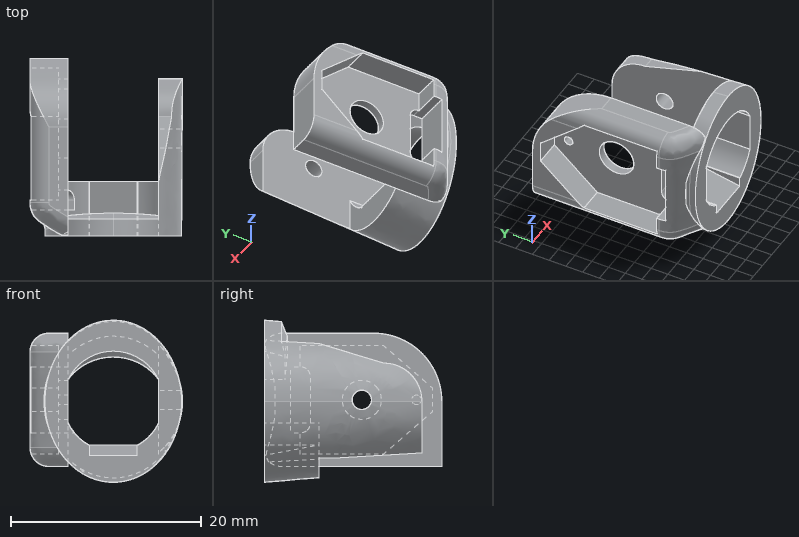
import cadquery as cq
import math

TOTAL_WIDTH = 16.0
TOTAL_LENGTH = 18.61
RING_HALF_WIDTH = 7.16
RING_HALF_HEIGHT = 8.505
REAR_HALF_WIDTH = 7.26
REAR_HALF_HEIGHT = 7.13
RING_LENGTH = 5.73
GAP_HALF_WIDTH = 4.73
AXIS_Z = 0.15
OVERCUT = 1.0

ARM_OUTER_X = REAR_HALF_WIDTH - TOTAL_WIDTH
ARM_INNER_X = -GAP_HALF_WIDTH
ARM_HALF_HEIGHT = 7.0
ARM_TIP_RADIUS = 7.2
ARM_EDGE_RADIUS = 2.0
ARM_TOP = AXIS_Z + ARM_HALF_HEIGHT
ARM_BOTTOM = AXIS_Z - ARM_HALF_HEIGHT
NOSE_LENGTH = 3.5
NOSE_FRONT_X = -5.3
NOSE_MID = (-7.35, 1.24)
NOSE_END_DIRECTION = (1.3, -0.76)
BEAD_FRONT_Y = 0.7
BEAD_BACK_Y = 1.1
BEAD_HEIGHT = 0.1
BEAD_HALF_HEIGHT = 8.2

SHORT_ARM_LENGTH = 16.5
SHORT_ARM_RADIUS = 4.0
SHORT_ARM_ROOT_TOP = 6.05
SHORT_ARM_BOTTOM = -5.95

BORE_RADIUS = 5.25
BORE_SIDE_Z = math.sqrt(BORE_RADIUS**2 - GAP_HALF_WIDTH**2)
BORE_FLOOR_Z = -4.58
KEY_HALF_WIDTH = 2.5
KEY_FRONT_Z = -5.67
LIP_RISE = 4.62

UPPER_RING_LENGTH = 1.77
CROWN_LENGTH = 2.4
CROWN_DROP = 0.25
SHOULDER_SLOPE = 0.41

PIN_Y = 10.2
PIN_RADIUS = 1.0
PIN_HEAD_RADIUS = 2.05
SMALL_HOLE_Y = 15.93
SMALL_HOLE_RADIUS = 0.5
POCKET_DEPTH = 3.0
POCKET_FRONT_Y = 3.75
POCKET_SHOULDER_Y = 12.5
POCKET_TIP_Y = 17.63
POCKET_HALF_HEIGHT = 5.67
POCKET_TIP_HALF_HEIGHT = 1.22
SLOT_FRONT_Y = 2.75
SLOT_BACK_Y = 4.8
SLOT_HALF_HEIGHT = 3.45
SLOT_CORNER_RADIUS = 1.0


def xz_plane(y):
    """Plane across the ring axis: local x is X, local y is Z, positive offsets run to -Y."""
    return cq.Workplane(cq.Plane(origin=(0, y, 0), xDir=(1, 0, 0), normal=(0, -1, 0)))


def yz_plane(x):
    """Plane along the ring axis: local x is Y, local y is Z, extrusion runs to +X."""
    return cq.Workplane("YZ", origin=(x, 0, 0))


def block(x_range, y_range, z_range):
    lows, highs = zip(x_range, y_range, z_range)
    sizes = [high - low for low, high in zip(lows, highs)]
    return cq.Workplane("XY").box(*sizes, centered=False).translate(lows)


def elliptic_cone(y_front, front_axes, y_back, back_axes):
    return (
        xz_plane(y_front).ellipse(*front_axes)
        .workplane(offset=y_front - y_back).ellipse(*back_axes)
        .loft(ruled=True)
    )


def ring_axes_at(y):
    share = y / SHORT_ARM_LENGTH
    half_width = RING_HALF_WIDTH + share * (REAR_HALF_WIDTH - RING_HALF_WIDTH)
    half_height = RING_HALF_HEIGHT + share * (REAR_HALF_HEIGHT - RING_HALF_HEIGHT)
    return half_width, half_height


def ring_and_short_arm():
    """Tapering elliptic shell trimmed to the ring and to the outline of the short arm."""
    shell = elliptic_cone(0, ring_axes_at(0), SHORT_ARM_LENGTH, ring_axes_at(SHORT_ARM_LENGTH))
    round_y = SHORT_ARM_LENGTH - SHORT_ARM_RADIUS
    diagonal = SHORT_ARM_RADIUS * math.sqrt(0.5)
    arm = (
        yz_plane(GAP_HALF_WIDTH)
        .moveTo(0, SHORT_ARM_BOTTOM)
        .lineTo(SHORT_ARM_LENGTH, SHORT_ARM_BOTTOM)
        .lineTo(SHORT_ARM_LENGTH, 0)
        .threePointArc((round_y + diagonal, diagonal), (round_y, SHORT_ARM_RADIUS))
        .lineTo(RING_LENGTH, SHORT_ARM_ROOT_TOP)
        .lineTo(0, SHORT_ARM_ROOT_TOP)
        .close()
        .extrude(REAR_HALF_WIDTH)
    )
    ring = block((-TOTAL_WIDTH, TOTAL_WIDTH), (0, RING_LENGTH), (-TOTAL_WIDTH, TOTAL_WIDTH))
    return shell.intersect(ring.union(arm))


def ring_bead():
    """Low flare around the ring on the long arm's side."""
    front_width = ring_axes_at(BEAD_FRONT_Y)[0]
    back_axes = (front_width + BEAD_HEIGHT, BEAD_HALF_HEIGHT)
    flare = elliptic_cone(BEAD_FRONT_Y, (front_width, BEAD_HALF_HEIGHT), BEAD_BACK_Y, back_axes)
    side = block((ARM_OUTER_X, ARM_INNER_X), (0, BEAD_BACK_Y), (ARM_BOTTOM, ARM_TOP))
    return flare.intersect(side)


def upper_gap():
    """Space between the arms, down to the crowned back face of the upper ring."""
    space = block(
        (-GAP_HALF_WIDTH, GAP_HALF_WIDTH),
        (UPPER_RING_LENGTH, TOTAL_LENGTH),
        (0, RING_HALF_HEIGHT + OVERCUT),
    )
    rim_axes = ring_axes_at(UPPER_RING_LENGTH)
    run = (CROWN_LENGTH - UPPER_RING_LENGTH) / SHOULDER_SLOPE
    crown_axes = [axis - run for axis in rim_axes]
    shoulder = elliptic_cone(UPPER_RING_LENGTH, rim_axes, CROWN_LENGTH, crown_axes)
    crown_radius = (GAP_HALF_WIDTH**2 + CROWN_DROP**2) / (2 * CROWN_DROP)
    crown = (
        cq.Workplane("XY", origin=(0, CROWN_LENGTH - crown_radius, -RING_HALF_HEIGHT))
        .circle(crown_radius)
        .extrude(2 * RING_HALF_HEIGHT)
    )
    return space.cut(shoulder.intersect(crown))


def bore_lower():
    """Bore with flat sides and a flat floor; its roof stops at the bore's widest flats."""
    tool = xz_plane(-OVERCUT).circle(BORE_RADIUS).extrude(-RING_LENGTH - 2 * OVERCUT)
    limits = block(
        (-GAP_HALF_WIDTH, GAP_HALF_WIDTH),
        (-OVERCUT, RING_LENGTH + OVERCUT),
        (BORE_FLOOR_Z, BORE_SIDE_Z),
    )
    return tool.intersect(limits)


def bore_roof():
    """Arched roof of the bore, lower at the back than at the front face."""

    def arch(plane, rise):
        start = (-GAP_HALF_WIDTH, BORE_SIDE_Z)
        end = (GAP_HALF_WIDTH, BORE_SIDE_Z)
        return plane.moveTo(*start).threePointArc((0, rise), end).close()

    front = arch(xz_plane(0), BORE_RADIUS)
    return arch(front.workplane(offset=-CROWN_LENGTH), LIP_RISE).loft(ruled=True)


def keyway():
    """Keyway in the bore floor, deepest at the front face and running out at the back."""
    return (
        yz_plane(-KEY_HALF_WIDTH)
        .polyline([(0, KEY_FRONT_Z), (RING_LENGTH, BORE_FLOOR_Z), (RING_LENGTH, 0), (0, 0)])
        .close()
        .extrude(2 * KEY_HALF_WIDTH)
    )


def long_arm():
    """Plate with rounded outer edges, a tip rounded at the top and a front that bends in."""
    thickness = ARM_INNER_X - ARM_OUTER_X
    round_y = TOTAL_LENGTH - ARM_TIP_RADIUS
    round_z = ARM_TOP - ARM_TIP_RADIUS
    diagonal = ARM_TIP_RADIUS * math.sqrt(0.5)
    side = (
        yz_plane(ARM_OUTER_X)
        .moveTo(NOSE_LENGTH, ARM_BOTTOM)
        .lineTo(TOTAL_LENGTH, ARM_BOTTOM)
        .lineTo(TOTAL_LENGTH, round_z)
        .threePointArc((round_y + diagonal, round_z + diagonal), (round_y, ARM_TOP))
        .lineTo(NOSE_LENGTH, ARM_TOP)
        .close()
        .extrude(thickness)
    )
    bar = block((ARM_OUTER_X, ARM_INNER_X), (NOSE_LENGTH, TOTAL_LENGTH), (ARM_BOTTOM, ARM_TOP))
    plate = side.intersect(bar.edges("|Y and <X").fillet(ARM_EDGE_RADIUS))
    nose = (
        cq.Workplane("XY", origin=(0, 0, ARM_BOTTOM))
        .moveTo(ARM_INNER_X, NOSE_LENGTH)
        .lineTo(ARM_OUTER_X, NOSE_LENGTH)
        .spline(
            [NOSE_MID, (NOSE_FRONT_X, 0)],
            tangents=[(0, -1), NOSE_END_DIRECTION],
            includeCurrent=True,
        )
        .lineTo(ARM_INNER_X, 0)
        .close()
        .extrude(2 * ARM_HALF_HEIGHT)
    )
    rim = nose.edges("%BSPLINE")
    return plate.union(rim.fillet(ARM_EDGE_RADIUS))


def arm_pocket():
    """Pointed pocket in the outer face of the long arm."""
    upper = [
        (POCKET_FRONT_Y, POCKET_HALF_HEIGHT),
        (POCKET_SHOULDER_Y, POCKET_HALF_HEIGHT),
        (POCKET_TIP_Y, POCKET_TIP_HALF_HEIGHT),
    ]
    lower = [(y, -z) for y, z in reversed(upper)]
    return (
        yz_plane(ARM_OUTER_X)
        .polyline([(y, AXIS_Z + z) for y, z in upper + lower])
        .close()
        .extrude(POCKET_DEPTH)
    )


def arm_slot():
    """Slot from the outer face of the long arm into the bore, rounded towards the pocket."""
    slot = block(
        (ARM_OUTER_X, 0),
        (SLOT_FRONT_Y, SLOT_BACK_Y),
        (AXIS_Z - SLOT_HALF_HEIGHT, AXIS_Z + SLOT_HALF_HEIGHT),
    )
    return slot.edges("|X and >Y").fillet(SLOT_CORNER_RADIUS)


def cross_hole(y, radius, x_start, x_end):
    return yz_plane(x_start).center(y, AXIS_Z).circle(radius).extrude(x_end - x_start)


result = ring_and_short_arm().union(long_arm()).union(ring_bead())
for opening in (upper_gap(), bore_lower(), bore_roof(), keyway(), arm_pocket(), arm_slot()):
    result = result.cut(opening)
result = result.cut(cross_hole(PIN_Y, PIN_HEAD_RADIUS, ARM_OUTER_X, 0))
result = result.cut(cross_hole(PIN_Y, PIN_RADIUS, 0, TOTAL_WIDTH))
result = result.cut(cross_hole(SMALL_HOLE_Y, SMALL_HOLE_RADIUS, ARM_OUTER_X, 0))